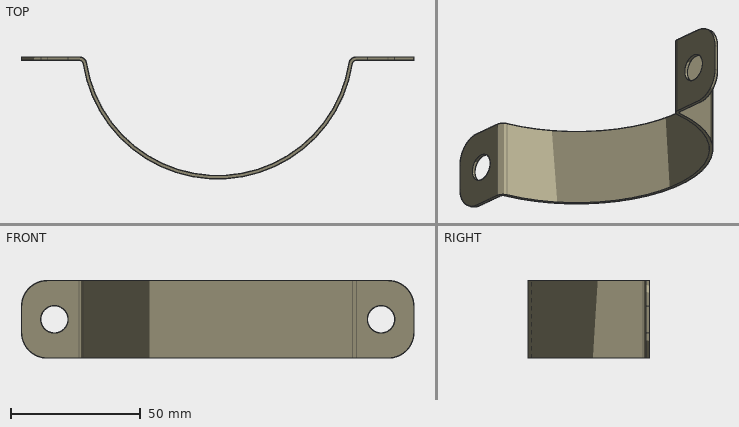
import cadquery as cq
import math

length = 151.5
depth = 47.1
width = 30.0

thickness = 1.4
bend_inner_radius = 1.5
bend_outer_radius = bend_inner_radius + thickness

saddle_outer_radius = 52.5
saddle_inner_radius = saddle_outer_radius - thickness

ear_corner_radius = 10.0
hole_diameter = 10.5
hole_edge_distance = 12.7

saddle_center_y = saddle_outer_radius - depth
bend_center_y = -bend_outer_radius

center_distance = saddle_outer_radius + bend_inner_radius
center_rise = saddle_center_y - bend_center_y
bend_center_x = math.sqrt(center_distance**2 - center_rise**2)
tangent_angle = math.asin(center_rise / center_distance)


def saddle_point(radius, side):
    """Point where the saddle arc of this radius meets the bend on one side."""
    return (
        side * radius * math.cos(tangent_angle),
        saddle_center_y - radius * math.sin(tangent_angle),
    )


def bend_middle(radius, side):
    """Middle point of a bend arc; it starts at +Y and turns toward the saddle."""
    angle = (math.pi / 2 + math.pi - tangent_angle) / 2
    return (
        side * (bend_center_x + radius * math.cos(angle)),
        bend_center_y + radius * math.sin(angle),
    )


def make_strip():
    """Bent sheet with square ears, centred on Z = 0."""
    end_x = length / 2
    profile = (
        cq.Workplane("XY")
        .moveTo(-end_x, 0)
        .lineTo(-bend_center_x, 0)
        .threePointArc(bend_middle(bend_outer_radius, -1), saddle_point(saddle_inner_radius, -1))
        .threePointArc((0, thickness - depth), saddle_point(saddle_inner_radius, 1))
        .threePointArc(bend_middle(bend_outer_radius, 1), (bend_center_x, 0))
        .lineTo(end_x, 0)
        .lineTo(end_x, -thickness)
        .lineTo(bend_center_x, -thickness)
        .threePointArc(bend_middle(bend_inner_radius, 1), saddle_point(saddle_outer_radius, 1))
        .threePointArc((0, -depth), saddle_point(saddle_outer_radius, -1))
        .threePointArc(bend_middle(bend_inner_radius, -1), (-bend_center_x, -thickness))
        .lineTo(-end_x, -thickness)
        .close()
    )
    return profile.extrude(width / 2, both=True)


def round_ears(strip):
    """Round the free corners of both ears."""
    ear_ends = strip.faces("<X or >X")
    return ear_ends.edges("|Y").fillet(ear_corner_radius)


def make_holes():
    """Cutters for the mounting hole in each ear."""
    hole_x = length / 2 - hole_edge_distance
    return (
        cq.Workplane("XZ")
        .pushPoints([(-hole_x, 0), (hole_x, 0)])
        .circle(hole_diameter / 2)
        .extrude(thickness)
    )


result = round_ears(make_strip()).cut(make_holes())